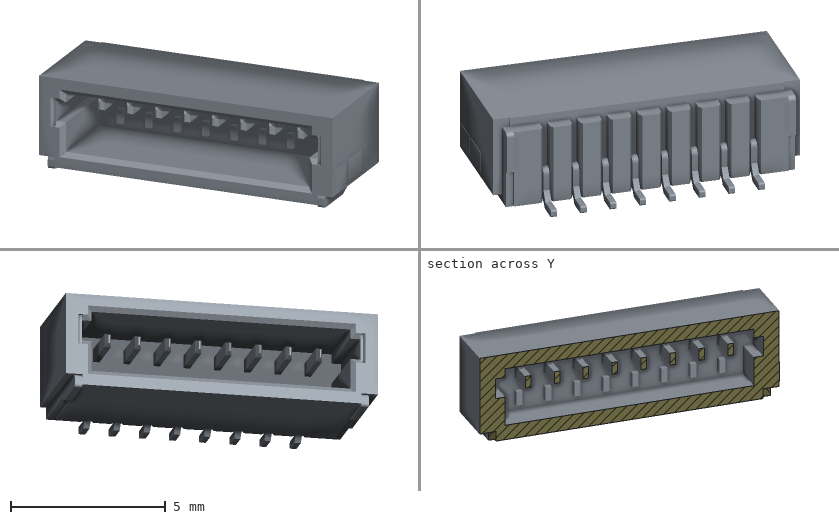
import cadquery as cq

total_length = 10.36
pad_thickness = 0.02
shell_length = total_length - pad_thickness
shell_half = shell_length / 2
shell_depth = 3.76
shell_bottom = 0.42
top_z = 3.14

core_half = 4.62
core_depth = 3.81
core_bottom = 0.08

ledge_back = 4.28
ledge_bottom = 0.19
ledge_top = 2.84
slot_half = 0.12
slot_mouth_half = 0.21
slot_flare_depth = 0.15

cavity_depth = 2.9
cavity_half = 4.29
cavity_bottom = 0.61
cavity_top = 2.61
notch_half = 4.61
notch_bottom = 1.62
notch_top = 2.3
lead_in = 0.16

recess_half = 4.76
recess_taper = 0.06
recess_depth = 0.1

pad_bottom = 0.61
pad_top = 1.32
pad_spans = [(0.16, 1.08), (1.25, 2.33)]

contact_count = 8
pitch = 1.0
contact_width = 0.21
blade_bottom = 1.8
blade_top = 2.24
blade_tip_y = 1.04
blade_taper = 0.08
blade_taper_length = 0.21
stub_bottom = 0.85
stub_top = 1.35
stub_length = 0.21
foot_end = 5.05
foot_thickness = 0.25
foot_edge_radius = 0.06
foot_heel_y = 4.34
heel_rise = 0.16
heel_run = 0.12
leg_back = 4.19
leg_top = 1.35
leg_bend_radius = 0.22
leg_bottom = 0.52
slope_start_y = 4.41
slope_top = 0.58
slope_fillet = 0.07

clip_outer = 4.87
clip_front = 0.02
clip_heel_y = 1.53
clip_slope_end_y = 1.89
clip_arm_bottom = 0.16
clip_back = 4.31
clip_lower_back = 4.19
clip_step_z = 1.39
clip_step_chamfer = 0.06
clip_front_top_radius = 0.12
clip_front_bottom_radius = 0.09
clip_rear_radius = 0.16


def block(x_range, y_range, z_range):
    """Box between the given limits."""
    (x0, x1), (y0, y1), (z0, z1) = x_range, y_range, z_range
    return cq.Workplane("XY").box(x1 - x0, y1 - y0, z1 - z0, centered=False).translate((x0, y0, z0))


def extrude_side_profile(profile, x_start, width):
    """Extrude a (Y, Z) profile along +X from x_start."""
    return profile.extrude(width).translate((x_start, 0, 0))


def contact_positions():
    return [(index - (contact_count - 1) / 2) * pitch for index in range(contact_count)]


def cavity_outline(y, growth):
    """Closed wire of the notched opening at depth y, its walls moved outward by growth."""
    half = cavity_half + growth
    bottom, top = cavity_bottom - growth, cavity_top + growth
    low, high = notch_bottom - growth, notch_top + growth
    right_side = [
        (half, bottom),
        (half, low),
        (notch_half, low),
        (notch_half, high),
        (half, high),
        (half, top),
    ]
    left_side = [(-x, z) for x, z in reversed(right_side)]
    corners = [cq.Vector(x, y, z) for x, z in right_side + left_side]
    return cq.Wire.makePolygon(corners, close=True)


def make_cavity():
    straight = cq.Solid.extrudeLinear(cavity_outline(0, 0), [], cq.Vector(0, cavity_depth, 0))
    mouth = cq.Solid.makeLoft([cavity_outline(0, lead_in), cavity_outline(lead_in, 0)], True)
    return cq.Workplane(obj=straight).union(cq.Workplane(obj=mouth))


def make_face_recess():
    """Shallow recess beyond the +X notch, its end wall tapering inward with depth."""
    height = notch_top - notch_bottom + 2 * lead_in
    plan = [
        (notch_half, 0),
        (recess_half, 0),
        (recess_half - recess_taper, recess_depth),
        (notch_half, recess_depth),
    ]
    return cq.Workplane("XY").polyline(plan).close().extrude(height).translate((0, 0, notch_bottom - lead_in))


def make_leg_slot():
    """Vertical slot through the ledge, flared where it opens at the back."""
    flare_start = ledge_back - slot_flare_depth
    plan = [
        (-slot_half, core_depth),
        (slot_half, core_depth),
        (slot_half, flare_start),
        (slot_mouth_half, ledge_back),
        (-slot_mouth_half, ledge_back),
        (-slot_half, flare_start),
    ]
    return cq.Workplane("XY").polyline(plan).close().extrude(top_z)


def make_blade():
    """Upper contact blade with a tapered tip, rooted in the cavity's back wall."""
    height = blade_top - blade_bottom
    middle_z = (blade_top + blade_bottom) / 2
    taper_end_y = blade_tip_y + blade_taper_length
    tip = (
        cq.Workplane("XZ", origin=(0, taper_end_y, middle_z))
        .rect(contact_width, height)
        .workplane(offset=blade_taper_length)
        .rect(contact_width - 2 * blade_taper, height - 2 * blade_taper)
        .loft()
    )
    half_width = contact_width / 2
    shank = block((-half_width, half_width), (taper_end_y, core_depth), (blade_bottom, blade_top))
    return shank.union(tip)


def make_stub():
    """Lower contact end standing square out of the cavity's back wall."""
    half_width = contact_width / 2
    return block((-half_width, half_width), (cavity_depth - stub_length, core_depth), (stub_bottom, stub_top))


def make_leg():
    """Round-topped leg behind the core, sloping out into a flat solder foot."""
    bend_z = leg_top - leg_bend_radius
    root_y = leg_back - 2 * leg_bend_radius
    profile = (
        cq.Workplane("YZ")
        .moveTo(root_y, leg_bottom)
        .lineTo(root_y, bend_z)
        .threePointArc((leg_back - leg_bend_radius, leg_top), (leg_back, bend_z))
        .lineTo(leg_back, slope_top)
        .lineTo(slope_start_y, foot_thickness)
        .lineTo(foot_end, foot_thickness)
        .lineTo(foot_end, 0)
        .lineTo(foot_heel_y, 0)
        .lineTo(foot_heel_y - heel_run, heel_rise)
        .close()
    )
    leg = extrude_side_profile(profile, -contact_width / 2, contact_width)
    leg = leg.faces(">Y").edges("|X").fillet(foot_edge_radius)
    slope_foot = cq.NearestToPointSelector((0, slope_start_y, foot_thickness))
    return leg.edges("|X").edges(slope_foot).fillet(slope_fillet)


def make_end_pads():
    x_range = (shell_half, shell_half + pad_thickness)
    return [block(x_range, y_range, (pad_bottom, pad_top)) for y_range in pad_spans]


def make_housing():
    housing = block((-shell_half, shell_half), (0, shell_depth), (shell_bottom, top_z))
    housing = housing.union(block((-core_half, core_half), (0, core_depth), (core_bottom, top_z)))
    housing = housing.union(block((-core_half, core_half), (0, ledge_back), (ledge_bottom, ledge_top)))
    recess = make_face_recess()
    housing = housing.cut(make_cavity()).cut(recess).cut(recess.mirror("YZ"))
    for pad in make_end_pads():
        housing = housing.union(pad)

    slot = make_leg_slot()
    contact = make_blade().union(make_stub()).union(make_leg())
    for x in contact_positions():
        housing = housing.cut(slot.translate((x, 0, 0)))
        housing = housing.union(contact.translate((x, 0, 0)))
    return housing


def make_clip():
    """L-shaped clip on the +X side: an arm under the shell and an upright behind it."""
    profile = (
        cq.Workplane("YZ")
        .moveTo(clip_front, 0)
        .lineTo(clip_heel_y, 0)
        .lineTo(clip_slope_end_y, clip_arm_bottom)
        .lineTo(clip_lower_back, clip_arm_bottom)
        .lineTo(clip_lower_back, clip_step_z)
        .lineTo(clip_back, clip_step_z + clip_step_chamfer)
        .lineTo(clip_back, ledge_top)
        .lineTo(shell_depth, ledge_top)
        .lineTo(shell_depth, shell_bottom)
        .lineTo(clip_front, shell_bottom)
        .close()
    )
    clip = extrude_side_profile(profile, core_half, clip_outer - core_half)
    clip = clip.faces("<Y").edges("|X").edges(">Z").fillet(clip_front_top_radius)
    clip = clip.faces("<Y").edges("|X").edges("<Z").fillet(clip_front_bottom_radius)
    return clip.faces(">Y").edges("|X").edges(">Z").fillet(clip_rear_radius)


housing = make_housing()
right_clip = make_clip()
clips = [right_clip, right_clip.mirror("YZ")]

result = cq.Compound.makeCompound([housing.val(), *[clip.val() for clip in clips]])